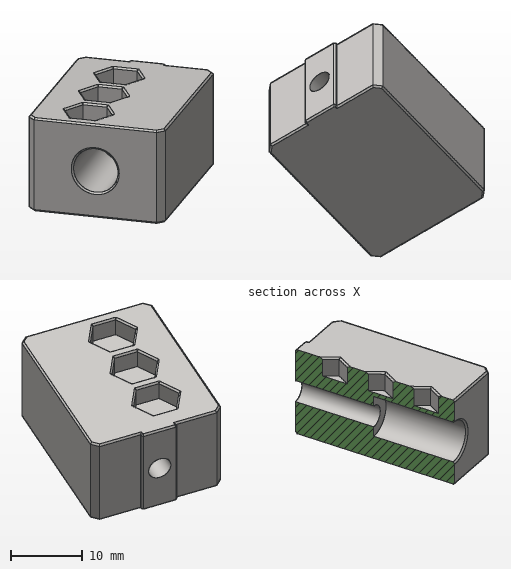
import cadquery as cq
import math

width = 20.0
overall_length = 26.25
height = 14.0
tab_projection = 0.5
body_length = overall_length - tab_projection
corner_chamfer = 1.0
edge_chamfer = 0.25

tab_width = 5.49

hex_across_flats = 6.05
hex_depth = 3.0
hex_count = 3
hex_pitch = 7.5
hex_row_x = -2.34
hex_row_y = -0.63

hole_diameter = 3.4
bore_diameter = 6.5
bore_depth = 13.34


def make_body():
    """Block with bevelled corners, end tab and bevelled top and bottom rims."""
    block = (
        cq.Workplane("XY")
        .box(width, body_length, height, centered=(True, True, False))
        .edges("|Z")
        .chamfer(corner_chamfer)
    )
    tab = (
        cq.Workplane("XY")
        .box(tab_width, 2 * tab_projection, height, centered=(True, True, False))
        .edges("|Z and >Y")
        .chamfer(edge_chamfer)
        .translate((0, body_length / 2, 0))
    )
    return block.union(tab).faces("<Z or >Z").chamfer(edge_chamfer)


def hex_prism(depth, taper=0):
    """Hexagon of the pocket size, extruded upward; a negative taper widens it."""
    across_corners = hex_across_flats / math.cos(math.pi / 6)
    return cq.Workplane("XY").polygon(6, across_corners).extrude(depth, taper=taper)


def make_hex_cutter():
    """Pocket with a 45 degree bevel around its mouth."""
    straight = hex_prism(hex_depth).translate((0, 0, height - hex_depth))
    bevel = hex_prism(edge_chamfer, taper=-45).translate((0, 0, height - edge_chamfer))
    return straight.union(bevel)


def make_bore_cutter():
    """Through hole with a counterbore and bevelled mouth on the -Y face."""
    hole_radius = hole_diameter / 2
    bore_radius = bore_diameter / 2
    mouth_radius = bore_radius + edge_chamfer
    profile = [
        (0, 0),
        (mouth_radius, 0),
        (bore_radius, edge_chamfer),
        (bore_radius, bore_depth),
        (hole_radius, bore_depth),
        (hole_radius, overall_length),
        (0, overall_length),
    ]
    return (
        cq.Workplane("XY")
        .polyline(profile)
        .close()
        .revolve(360, (0, 0, 0), (0, 1, 0))
        .translate((0, -body_length / 2, height / 2))
    )


result = make_body().cut(make_bore_cutter())

hex_cutter = make_hex_cutter()
for index in range(hex_count):
    pocket_y = hex_row_y + (index - (hex_count - 1) / 2) * hex_pitch
    result = result.cut(hex_cutter.translate((hex_row_x, pocket_y, 0)))